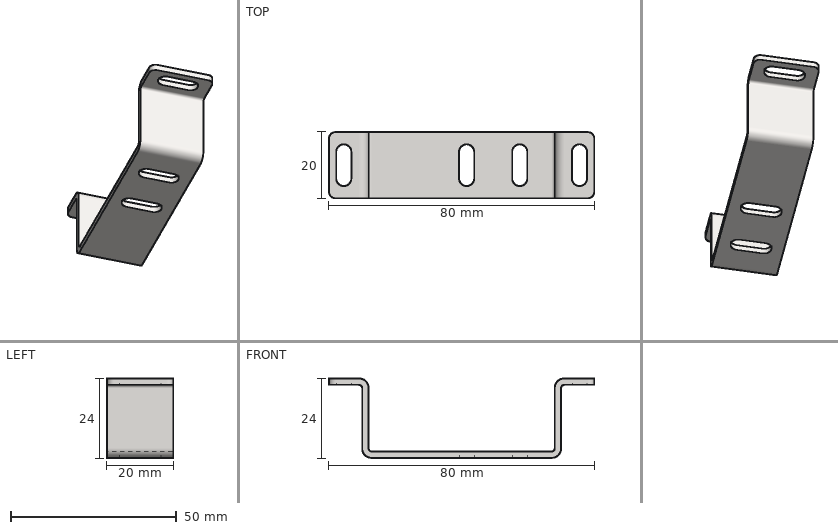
import cadquery as cq

LENGTH = 80.0
WIDTH = 20.0
HEIGHT = 24.0
THICKNESS = 2.0

CHANNEL_WIDTH = 60.0
INNER_BEND_RADIUS = 0.9
OUTER_BEND_RADIUS = INNER_BEND_RADIUS + THICKNESS

CORNER_RADIUS = 2.0

SLOT_WIDTH = 4.5
SLOT_LENGTH = 12.5
FLANGE_SLOT_X = 35.5
BASE_SLOT_PITCH = 16.0
FIRST_BASE_SLOT_X = 1.5
BASE_SLOT_XS = [FIRST_BASE_SLOT_X, FIRST_BASE_SLOT_X + BASE_SLOT_PITCH]

BOTTOM_Z = -HEIGHT / 2
TOP_Z = HEIGHT / 2


def make_bent_strip():
    """Hat-shaped strip of constant thickness with sharp bends, then rounded."""
    end_x = LENGTH / 2
    outer_x = CHANNEL_WIDTH / 2
    inner_x = outer_x - THICKNESS
    floor_z = BOTTOM_Z + THICKNESS
    flange_z = TOP_Z - THICKNESS

    right_half = [
        (outer_x, BOTTOM_Z),
        (outer_x, flange_z),
        (end_x, flange_z),
        (end_x, TOP_Z),
        (inner_x, TOP_Z),
        (inner_x, floor_z),
    ]
    left_half = [(-x, z) for x, z in reversed(right_half)]
    strip = (
        cq.Workplane("XZ")
        .polyline(right_half + left_half)
        .close()
        .extrude(WIDTH / 2, both=True)
    )

    bends = [
        (outer_x, BOTTOM_Z, OUTER_BEND_RADIUS),
        (inner_x, floor_z, INNER_BEND_RADIUS),
        (inner_x, TOP_Z, OUTER_BEND_RADIUS),
        (outer_x, flange_z, INNER_BEND_RADIUS),
    ]
    for x, z, radius in bends:
        for side in (-1, 1):
            bend_edge = cq.selectors.NearestToPointSelector((side * x, 0, z))
            strip = strip.edges("|Y").edges(bend_edge).fillet(radius)
    return strip


def round_flange_corners(strip):
    """Round the four free corners of the flanges."""
    for end in ("<X", ">X"):
        strip = strip.faces(end).edges("|Z").fillet(CORNER_RADIUS)
    return strip


def cut_slots(strip):
    """Cut the flange and base slots straight through the sheet."""
    slot_xs = [-FLANGE_SLOT_X, FLANGE_SLOT_X] + BASE_SLOT_XS
    slots = (
        cq.Workplane("XY", origin=(0, 0, BOTTOM_Z))
        .pushPoints([(x, 0) for x in slot_xs])
        .slot2D(SLOT_LENGTH, SLOT_WIDTH, angle=90)
        .extrude(HEIGHT)
    )
    return strip.cut(slots)


result = cut_slots(round_flange_corners(make_bent_strip()))